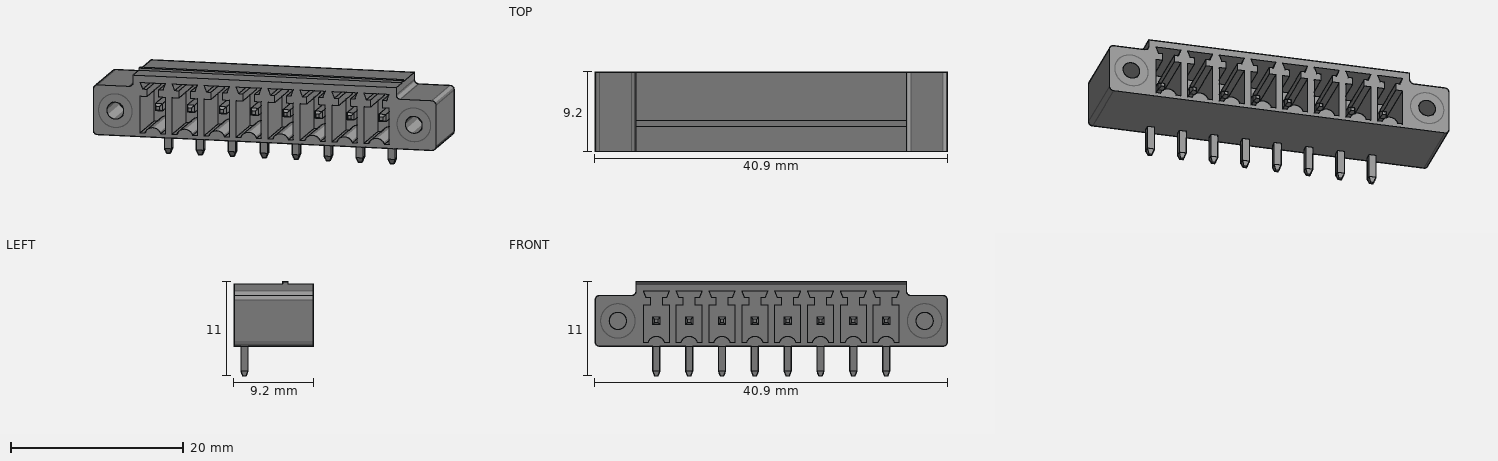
import cadquery as cq

pin_count = 8
pitch = 3.81
total_length = 40.87
depth = 9.2

flange_height = 5.9
block_length = 31.4
block_height = 7.25
outline_radius = 0.5

rib_height = 0.25
rib_width = 0.65
rib_setback = 2.93

insert_spacing = 35.6
insert_diameter = 4.0
insert_hole_diameter = 2.0
insert_z = 2.95
insert_depth = 6.0

cavity_depth = 7.0
cavity_half_width = 1.5
cavity_floor_z = 0.47
shoulder_z = 4.8
neck_half_width = 0.7
dovetail_z = 5.65
dovetail_half_width = 1.2
cavity_top_z = 6.42
floor_bump_half_width = 0.95
floor_bump_height = 0.67

pin_size = 0.85
pin_z = 2.95
pin_recess = 2.5
pin_leg_inset = 1.2
pin_leg_y = depth - pin_leg_inset
pin_bottom_z = -3.45
tip_length = 0.6
tip_size = 0.4

pin_positions = [(i - (pin_count - 1) / 2) * pitch for i in range(pin_count)]
insert_positions = [-insert_spacing / 2, insert_spacing / 2]


def front_plane(x, y, z):
    """Plane parallel to XZ at (x, y, z), with its normal pointing to the back (+Y)."""
    return cq.Workplane(cq.Plane(origin=(x, y, z), xDir=(-1, 0, 0), normal=(0, 1, 0)))


def make_housing():
    """Raised centre block with a lower flange at each end and rounded long edges."""
    flanges = cq.Workplane("XY").box(total_length, depth, flange_height, centered=(True, False, False))
    flanges = flanges.edges("|Y").fillet(outline_radius)
    block = cq.Workplane("XY").box(block_length, depth, block_height, centered=(True, False, False))
    housing = flanges.union(block)
    half_block = block_length / 2
    inner_corners = cq.selectors.BoxSelector(
        (-half_block - outline_radius / 2, 0, flange_height - outline_radius / 2),
        (half_block + outline_radius / 2, depth, flange_height + outline_radius / 2),
    )
    return housing.edges("|Y").edges(inner_corners).fillet(outline_radius)


def make_rib():
    """Low rib running the length of the block's top face."""
    rib = cq.Workplane("XY").box(block_length, rib_width, rib_height, centered=(True, False, False))
    return rib.translate((0, rib_setback, block_height))


def make_cavity(x):
    """Keyed cavity: wide chamber with an arched floor, a narrow neck and a dovetail on top."""
    return (
        front_plane(x, 0, 0)
        .moveTo(-cavity_half_width, cavity_floor_z)
        .lineTo(-floor_bump_half_width, cavity_floor_z)
        .threePointArc((0, cavity_floor_z + floor_bump_height), (floor_bump_half_width, cavity_floor_z))
        .lineTo(cavity_half_width, cavity_floor_z)
        .lineTo(cavity_half_width, shoulder_z)
        .lineTo(neck_half_width, shoulder_z)
        .lineTo(neck_half_width, dovetail_z)
        .lineTo(dovetail_half_width, dovetail_z)
        .lineTo(cavity_half_width, cavity_top_z)
        .lineTo(-cavity_half_width, cavity_top_z)
        .lineTo(-dovetail_half_width, dovetail_z)
        .lineTo(-neck_half_width, dovetail_z)
        .lineTo(-neck_half_width, shoulder_z)
        .lineTo(-cavity_half_width, shoulder_z)
        .close()
        .extrude(cavity_depth)
    )


def make_bar(start_plane, length):
    """Square bar growing from a tapered tip along the plane's normal."""
    tip = start_plane.rect(tip_size, tip_size).workplane(offset=tip_length).rect(pin_size, pin_size).loft()
    shank = start_plane.workplane(offset=tip_length).rect(pin_size, pin_size).extrude(length - tip_length)
    return tip.union(shank)


def make_pin(x):
    """L-shaped pin: contact in the cavity, leg down through the underside."""
    half_pin = pin_size / 2
    contact = make_bar(front_plane(x, pin_recess, pin_z), pin_leg_y + half_pin - pin_recess)
    leg_plane = cq.Workplane("XY", origin=(x, pin_leg_y, pin_bottom_z))
    leg = make_bar(leg_plane, pin_z + half_pin - pin_bottom_z)
    return contact.union(leg)


def make_cylinder(x, diameter):
    """Cylinder running back from the front face on a flange insert axis."""
    return front_plane(x, 0, insert_z).circle(diameter / 2).extrude(insert_depth)


result = make_housing().union(make_rib())
for pin_x in pin_positions:
    result = result.cut(make_cavity(pin_x)).union(make_pin(pin_x))

for insert_x in insert_positions:
    result = result.union(make_cylinder(insert_x, insert_diameter), clean=False)
    result = result.cut(make_cylinder(insert_x, insert_hole_diameter), clean=False)